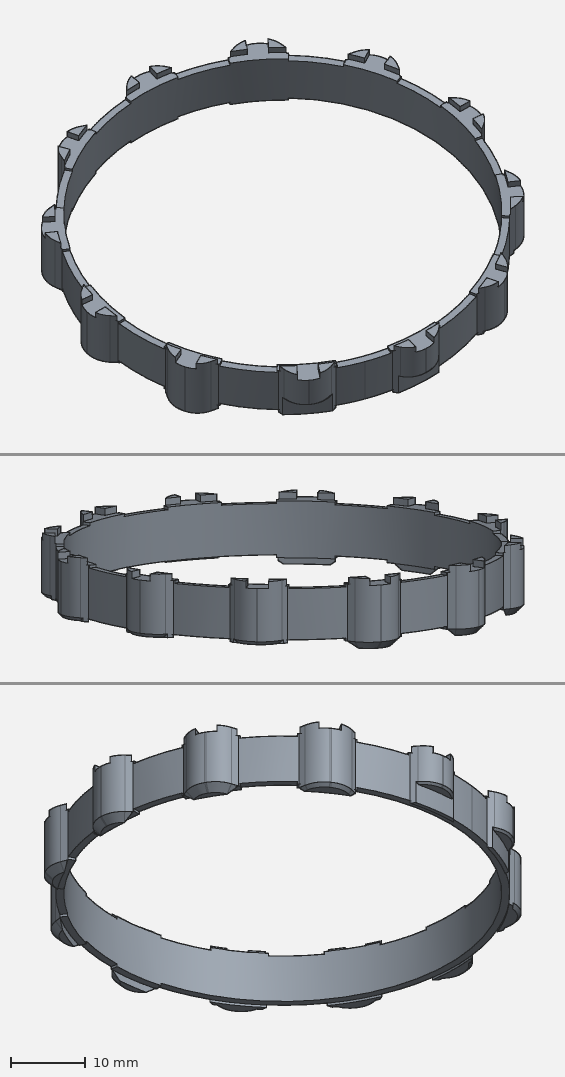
import cadquery as cq
import math

band_inner_radius = 29.3
band_outer_radius = 30.4
band_bottom = 1.45
band_top = 8.45

boss_tip_radius = 32.5
boss_tip_flat = 0.2
boss_round_radius = 4.0
flank_angle = 51
boss_top = 9.8

root_bottom = 1.1
root_top = 8.8
root_outer_radius = 30.95
root_half_angle = 7.7

slot_half_angle = 2.7
tab_inner_radius = 30.5

deep_end = (0, 1.1)
deep_blunt_end = (0, 0.5)
flush_end = (root_bottom, 0.5)
raised_end = (4.0, 0.3)
boss_ends = (
    [raised_end]
    + [flush_end] * 4
    + [deep_end] * 5
    + [deep_blunt_end, raised_end]
)
boss_pitch = 360 / len(boss_ends)
first_boss_angle = boss_pitch / 2

overlap = 1.9
inner_reach = band_inner_radius - overlap
outer_reach = boss_tip_radius + overlap


def polar(radius, angle):
    """Point at a radius and an angle in degrees."""
    return (
        radius * math.cos(math.radians(angle)),
        radius * math.sin(math.radians(angle)),
    )


def mirrored(point):
    """The same point on the other side of the boss centre line."""
    return (point[0], -point[1])


def shifted(point, offset):
    """The point moved by an offset."""
    return (point[0] + offset[0], point[1] + offset[1])


def disc(radius, bottom, top):
    """Solid cylinder on the Z axis between two heights."""
    return cq.Workplane("XY").workplane(offset=bottom).circle(radius).extrude(top - bottom)


def wedge(half_angle, bottom, top):
    """Pie slice around the +X axis, reaching past the boss tips."""
    return (
        cq.Workplane("XY")
        .workplane(offset=bottom)
        .polyline([(0, 0), polar(outer_reach, half_angle), polar(outer_reach, -half_angle)])
        .close()
        .extrude(top - bottom)
    )


def boss_prism(bottom, top):
    """Boss outline on the +X axis: rounded tip and straight flanks that end inside the bore."""
    round_center = (boss_tip_radius - boss_round_radius, boss_tip_flat / 2)
    tip = shifted(round_center, polar(boss_round_radius, 0))
    round_middle = shifted(round_center, polar(boss_round_radius, flank_angle / 2))
    flank_start = shifted(round_center, polar(boss_round_radius, flank_angle))
    flank_length = (flank_start[0] - inner_reach) / math.sin(math.radians(flank_angle))
    flank_end = shifted(flank_start, polar(flank_length, flank_angle + 90))
    return (
        cq.Workplane("XY")
        .workplane(offset=bottom)
        .moveTo(*flank_end)
        .lineTo(*flank_start)
        .threePointArc(round_middle, tip)
        .lineTo(*mirrored(tip))
        .threePointArc(mirrored(round_middle), mirrored(flank_start))
        .lineTo(*mirrored(flank_end))
        .close()
        .extrude(top - bottom)
    )


def boss_root(underside):
    """Raised sector of the band with a low pad of the boss outline on its outside."""
    pad = boss_prism(root_bottom, root_top).intersect(disc(root_outer_radius, root_bottom, root_top))
    sector = disc(band_outer_radius, root_bottom, root_top).union(pad)
    root = sector.intersect(wedge(root_half_angle, root_bottom, root_top))
    if underside >= root_bottom:
        root = root.cut(disc(band_outer_radius, root_bottom, band_bottom))
    return root


def boss(underside, chamfer):
    """One boss on the +X axis with its root, chamfered underside and top slot."""
    body = boss_prism(underside, boss_top).faces("<Z").edges().chamfer(chamfer)
    body = body.cut(disc(band_outer_radius, underside, boss_top)).union(boss_root(underside))
    slot = wedge(slot_half_angle, root_top, boss_top)
    return body.cut(slot).cut(disc(tab_inner_radius, root_top, boss_top))


result = disc(band_outer_radius, band_bottom, band_top)
for index, (underside, chamfer) in enumerate(boss_ends):
    angle = first_boss_angle + index * boss_pitch
    result = result.union(boss(underside, chamfer).rotate((0, 0, 0), (0, 0, 1), angle))
result = result.cut(disc(band_inner_radius, 0, boss_top))